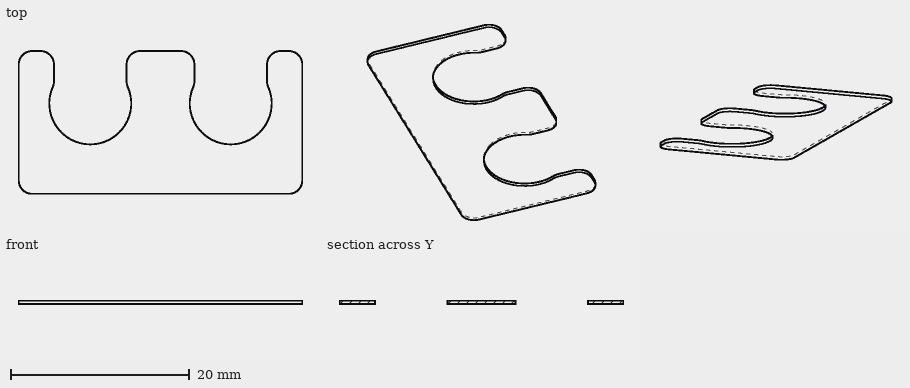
import cadquery as cq

plate_length = 31.75
plate_width = 16.0
plate_thickness = 0.38
corner_radius = 1.52

notch_spacing = 15.72
notch_radius = 4.57
notch_center_y = 2.13
mouth_width = 8.1
neck_radius = 1.52
selection_margin = 0.32


def notch(center_x):
    """Round seat with a slightly narrower mouth running out through the +Y edge."""
    mouth_length = plate_width / 2 - notch_center_y
    seat = (
        cq.Workplane("XY")
        .center(center_x, notch_center_y)
        .circle(notch_radius)
        .extrude(plate_thickness)
    )
    mouth = (
        cq.Workplane("XY")
        .center(center_x, notch_center_y + mouth_length / 2)
        .rect(mouth_width, mouth_length)
        .extrude(plate_thickness)
    )
    neck_edges = cq.selectors.BoxSelector(
        (center_x - notch_radius, notch_center_y + selection_margin, -selection_margin),
        (center_x + notch_radius, plate_width / 2 - selection_margin, plate_thickness + selection_margin),
    )
    return seat.union(mouth).edges("|Z").edges(neck_edges).fillet(neck_radius)


plate = cq.Workplane("XY").rect(plate_length, plate_width).extrude(plate_thickness)
for side in (-1, 1):
    plate = plate.cut(notch(side * notch_spacing / 2))

tip_edges = plate.edges("|Z and >Y")
base_edges = plate.edges("|Z and <Y")
result = plate.newObject(tip_edges.vals() + base_edges.vals()).fillet(corner_radius)